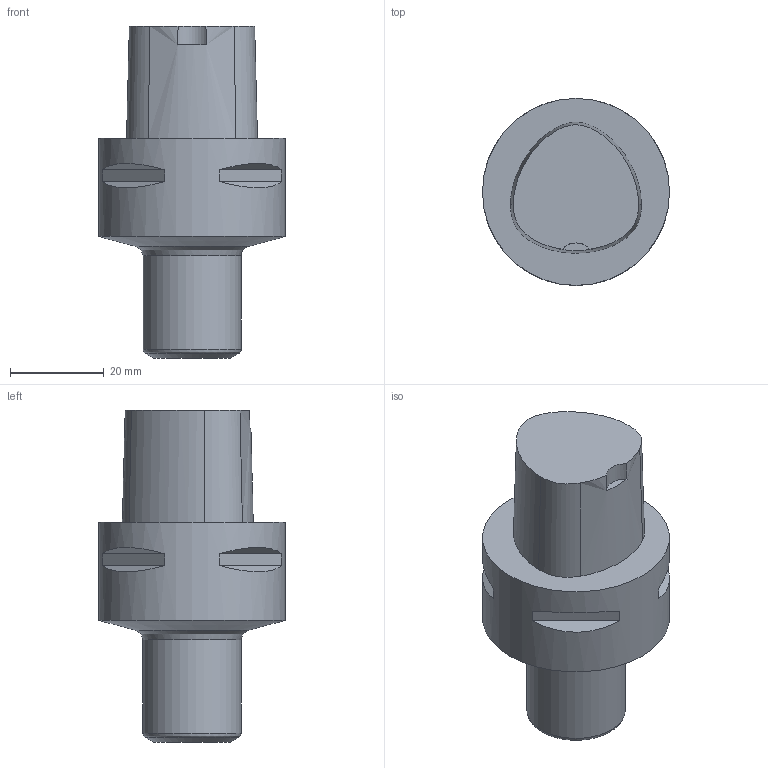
import cadquery as cq
import math

FLANGE_RADIUS = 20.0
FLANGE_HEIGHT = 21.0
CONE_ANGLE = math.radians(15.0)

TOTAL_HEIGHT = 71.0
SHANK_RADIUS = 10.5
NECK_FILLET = 2.0
END_FILLET = 1.0
END_CHAMFER_WIDTH = 2.25
END_CHAMFER_ANGLE = math.radians(30.0)

POLYGON_HEIGHT = 24.0
POLYGON_BASE_RADIUS = 14.0
POLYGON_TAPER = 1.0 / 40.0
LOBE_ECCENTRICITY = 0.9
LOBE_COUNT = 3
LOBE_DIRECTION = math.pi / 2
POINTS_PER_FACE = 8

NOTCH_RADIUS = 4.0
NOTCH_DEPTH = 4.0
NOTCH_BACK_Y = -10.95

GROOVE_COUNT = 4
GROOVE_FIRST_ANGLE = 45.0
GROOVE_CENTER_Z = -8.0
GROOVE_FLOOR_DISTANCE = 17.65
GROOVE_FLOOR_WIDTH = 2.5
GROOVE_WALL_ANGLE = math.radians(30.0)
GROOVE_OVERSHOOT = 1.0


def turned_body():
    """Flange, conical underside and shank as one revolved profile."""
    bottom_z = POLYGON_HEIGHT - TOTAL_HEIGHT
    cone_height = (FLANGE_RADIUS - SHANK_RADIUS) * math.tan(CONE_ANGLE)
    neck_z = -FLANGE_HEIGHT - cone_height
    chamfer_top_z = bottom_z + END_CHAMFER_WIDTH * math.tan(END_CHAMFER_ANGLE)
    body = (
        cq.Workplane("XZ")
        .moveTo(0, 0)
        .lineTo(FLANGE_RADIUS, 0)
        .lineTo(FLANGE_RADIUS, -FLANGE_HEIGHT)
        .lineTo(SHANK_RADIUS, neck_z)
        .lineTo(SHANK_RADIUS, chamfer_top_z)
        .lineTo(SHANK_RADIUS - END_CHAMFER_WIDTH, bottom_z)
        .lineTo(0, bottom_z)
        .close()
        .revolve(360, (0, 0, 0), (0, 1, 0))
    )
    neck_edge = cq.NearestToPointSelector((0, 0, neck_z))
    end_edge = cq.NearestToPointSelector((0, 0, chamfer_top_z))
    return body.edges(neck_edge).fillet(NECK_FILLET).edges(end_edge).fillet(END_FILLET)


def polygon_point(angle, mean_radius):
    """Point of the constant-width curve whose outward normal has the given angle."""
    phase = LOBE_COUNT * (angle - LOBE_DIRECTION)
    along_normal = mean_radius + LOBE_ECCENTRICITY * math.cos(phase)
    along_tangent = -LOBE_COUNT * LOBE_ECCENTRICITY * math.sin(phase)
    x = along_normal * math.cos(angle) - along_tangent * math.sin(angle)
    y = along_normal * math.sin(angle) + along_tangent * math.cos(angle)
    return x, y


def polygon_tangent(angle):
    return cq.Vector(-math.sin(angle), math.cos(angle), 0)


def polygon_outline(mean_radius, z):
    """Closed wire with a separate curve for every lobe and every side between lobes."""
    face_count = 2 * LOBE_COUNT
    face_span = 2 * math.pi / face_count
    edges = []
    for i in range(face_count):
        start = (i + 0.5) * face_span + LOBE_DIRECTION
        end = start + face_span
        points = []
        for j in range(POINTS_PER_FACE + 1):
            x, y = polygon_point(start + face_span * j / POINTS_PER_FACE, mean_radius)
            points.append(cq.Vector(x, y, z))
        tangents = [polygon_tangent(start), polygon_tangent(end)]
        edges.append(cq.Edge.makeSpline(points, tangents=tangents))
    return cq.Wire.assembleEdges(edges)


def tapered_polygon():
    top_radius = POLYGON_BASE_RADIUS - POLYGON_TAPER * POLYGON_HEIGHT
    base = polygon_outline(POLYGON_BASE_RADIUS, 0)
    top = polygon_outline(top_radius, POLYGON_HEIGHT)
    return cq.Workplane(cq.Solid.makeLoft([base, top], True))


def polygon_notch():
    return (
        cq.Workplane("XY")
        .workplane(offset=POLYGON_HEIGHT - NOTCH_DEPTH)
        .center(0, NOTCH_BACK_Y - NOTCH_RADIUS)
        .circle(NOTCH_RADIUS)
        .extrude(NOTCH_DEPTH)
    )


def gripper_groove(angle):
    """Straight trapezoidal groove, tangential to the flange at the given angle."""
    outer_distance = FLANGE_RADIUS + GROOVE_OVERSHOOT
    floor_half = GROOVE_FLOOR_WIDTH / 2
    wall_spread = (outer_distance - GROOVE_FLOOR_DISTANCE) * math.tan(GROOVE_WALL_ANGLE)
    outer_half = floor_half + wall_spread
    return (
        cq.Workplane("XZ")
        .moveTo(GROOVE_FLOOR_DISTANCE, GROOVE_CENTER_Z - floor_half)
        .lineTo(outer_distance, GROOVE_CENTER_Z - outer_half)
        .lineTo(outer_distance, GROOVE_CENTER_Z + outer_half)
        .lineTo(GROOVE_FLOOR_DISTANCE, GROOVE_CENTER_Z + floor_half)
        .close()
        .extrude(FLANGE_RADIUS, both=True)
        .rotate((0, 0, 0), (0, 0, 1), angle)
    )


result = turned_body().union(tapered_polygon()).cut(polygon_notch())
for index in range(GROOVE_COUNT):
    groove_angle = GROOVE_FIRST_ANGLE + index * 360.0 / GROOVE_COUNT
    result = result.cut(gripper_groove(groove_angle))